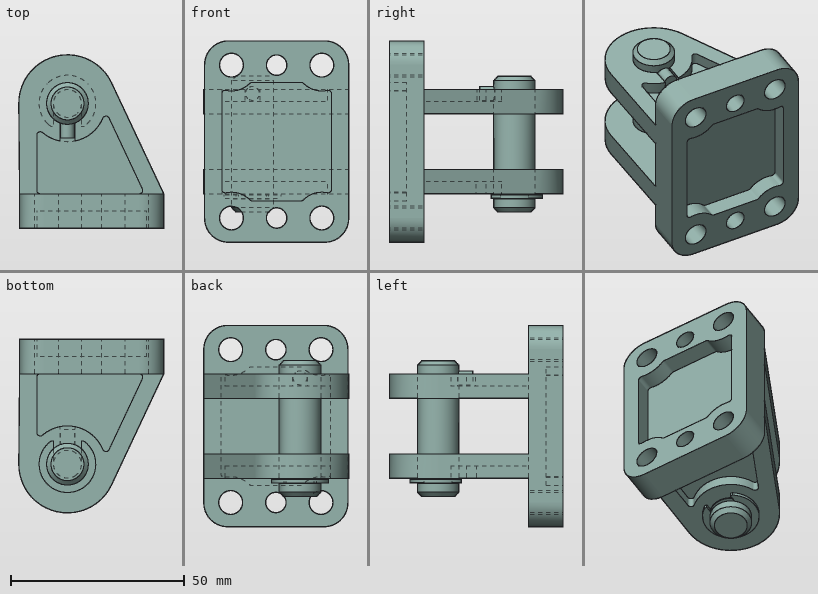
import cadquery as cq
import math

PLATE_WIDTH = 41.5
PLATE_HEIGHT = 58.0
PLATE_THICKNESS = 10.0
PLATE_CORNER_RADIUS = 6.95
BOLT_HOLE_DIAMETER = 6.8
MIDDLE_HOLE_DIAMETER = 5.8
BOLT_X = 13.0
BOLT_Z = 22.0

WALL = 5.0
POCKET_CORNER_RADIUS = 1.0
PLATE_POCKET_HEIGHT = 34.1
PLATE_POCKET_DEPTH = PLATE_THICKNESS / 2
BOLT_BOSS_RADIUS = 7.4
PIN_BOSS_RADIUS = 11.0

ARM_TIP_RADIUS = 14.05
ARM_INNER_Z = 8.0
ARM_THICKNESS = 7.0
ARM_OUTER_Z = ARM_INNER_Z + ARM_THICKNESS
ARM_POCKET_DEPTH = ARM_THICKNESS / 2
ARM_POCKET_FLOOR_Z = ARM_OUTER_Z - ARM_POCKET_DEPTH

PIN_X = -6.95
PIN_Y = 35.95
PIN_DIAMETER = 12.0
PIN_TOP_Z = 18.8
PIN_BOTTOM_Z = -20.3
PIN_CHAMFER = 1.3
DOWEL_DIAMETER = 4.0
DOWEL_REACH = 10.0
DOWEL_Z = 13.85
DOWEL_SLOT_WIDTH = 4.3

CLIP_DIAMETER = 16.3
CLIP_THICKNESS = 1.05
CLIP_TOP_Z = -15.3
CLIP_BOTTOM_Z = CLIP_TOP_Z - CLIP_THICKNESS
CLIP_OPEN_END = 6.65
GROOVE_DIAMETER = 8.0
GROOVE_PLAY = 0.1
GROOVE_BOTTOM_Z = CLIP_BOTTOM_Z - GROOVE_PLAY


def tangent_point(corner_x, corner_y, side):
    """Point where the line from a corner touches the arm tip circle (side: -1 left, +1 right)."""
    dx = corner_x - PIN_X
    dy = corner_y - PIN_Y
    half_angle = math.acos(ARM_TIP_RADIUS / math.hypot(dx, dy))
    angle = math.atan2(dy, dx) + side * half_angle
    return PIN_X + ARM_TIP_RADIUS * math.cos(angle), PIN_Y + ARM_TIP_RADIUS * math.sin(angle)


LEFT_CORNER = (-PLATE_WIDTH / 2, PLATE_THICKNESS)
RIGHT_CORNER = (PLATE_WIDTH / 2, PLATE_THICKNESS)
LEFT_TANGENT = tangent_point(*LEFT_CORNER, -1)
RIGHT_TANGENT = tangent_point(*RIGHT_CORNER, 1)


def cylinder_z(diameter, bottom_z, top_z):
    """Round bar along the pin axis."""
    return (
        cq.Workplane("XY", origin=(PIN_X, PIN_Y, bottom_z))
        .circle(diameter / 2)
        .extrude(top_z - bottom_z)
    )


def bolt_cylinders(diameter, depth):
    """Four round bars at the bolt holes, reaching in from the mounting face."""
    return (
        cq.Workplane("XZ")
        .rect(2 * BOLT_X, 2 * BOLT_Z, forConstruction=True)
        .vertices()
        .circle(diameter / 2)
        .extrude(-depth)
    )


def make_plate_pocket():
    """Recess in the mounting face that curves around the four bolt holes."""
    pocket = (
        cq.Workplane("XZ")
        .rect(PLATE_WIDTH - 2 * WALL, PLATE_POCKET_HEIGHT)
        .extrude(-PLATE_POCKET_DEPTH)
    )
    bosses = bolt_cylinders(2 * BOLT_BOSS_RADIUS, PLATE_POCKET_DEPTH)
    return pocket.cut(bosses).edges("|Y").fillet(POCKET_CORNER_RADIUS)


def make_plate():
    """Rounded plate with four bolt holes, two middle holes and a recess."""
    plate = (
        cq.Workplane("XZ")
        .rect(PLATE_WIDTH, PLATE_HEIGHT)
        .extrude(-PLATE_THICKNESS)
        .edges("|Y")
        .fillet(PLATE_CORNER_RADIUS)
    )
    bolt_holes = bolt_cylinders(BOLT_HOLE_DIAMETER, PLATE_THICKNESS)
    middle_holes = (
        cq.Workplane("XZ")
        .pushPoints([(0, -BOLT_Z), (0, BOLT_Z)])
        .circle(MIDDLE_HOLE_DIAMETER / 2)
        .extrude(-PLATE_THICKNESS)
    )
    return plate.cut(bolt_holes).cut(middle_holes).cut(make_plate_pocket())


def make_arm_pocket():
    """Recess in the upper arm, one wall thickness inside the sides and clear of the pin boss."""
    slope_x = RIGHT_TANGENT[0] - RIGHT_CORNER[0]
    slope_y = RIGHT_TANGENT[1] - RIGHT_CORNER[1]
    slope_length = math.hypot(slope_x, slope_y)
    inset_x = WALL * slope_length / slope_y
    lean = slope_x / slope_y
    left_x = -PLATE_WIDTH / 2 + WALL
    right_x = PLATE_WIDTH / 2 - inset_x
    rise = PIN_Y - PLATE_THICKNESS
    pocket = (
        cq.Workplane("XY", origin=(0, 0, ARM_POCKET_FLOOR_Z))
        .moveTo(left_x, PLATE_THICKNESS)
        .lineTo(right_x, PLATE_THICKNESS)
        .lineTo(right_x + lean * rise, PIN_Y)
        .lineTo(left_x, PIN_Y)
        .close()
        .extrude(ARM_POCKET_DEPTH)
        .cut(cylinder_z(2 * PIN_BOSS_RADIUS, ARM_POCKET_FLOOR_Z, ARM_OUTER_Z))
    )
    plate_side_piece = pocket.solids("<Y")
    return plate_side_piece.edges("|Z").fillet(POCKET_CORNER_RADIUS)


def make_upper_arm():
    """Arm whose straight sides run from the plate corners tangent to its round tip."""
    arm = (
        cq.Workplane("XY", origin=(0, 0, ARM_INNER_Z))
        .moveTo(*LEFT_CORNER)
        .lineTo(*RIGHT_CORNER)
        .lineTo(*RIGHT_TANGENT)
        .threePointArc((PIN_X, PIN_Y + ARM_TIP_RADIUS), LEFT_TANGENT)
        .close()
        .extrude(ARM_THICKNESS)
    )
    return arm.cut(make_arm_pocket())


def make_dowel_slot():
    """Straight slot in the upper arm, level with the pocket floor, from the bore to the pocket."""
    return (
        cq.Workplane("XY", origin=(PIN_X, PIN_Y - PIN_BOSS_RADIUS / 2, ARM_POCKET_FLOOR_Z))
        .rect(DOWEL_SLOT_WIDTH, PIN_BOSS_RADIUS)
        .extrude(ARM_POCKET_DEPTH)
    )


def make_bracket():
    """Plate with two mirrored arms, a bore for the pin and a slot for its dowel."""
    upper_arm = make_upper_arm()
    lower_arm = upper_arm.mirror("XY")
    bore = cylinder_z(PIN_DIAMETER, -ARM_OUTER_Z, ARM_OUTER_Z)
    return make_plate().union(upper_arm).union(lower_arm).cut(bore).cut(make_dowel_slot())


def make_pin():
    """Chamfered pin with a clip groove near its lower end and a dowel standing out of its side."""
    shaft = cylinder_z(PIN_DIAMETER, PIN_BOTTOM_Z, PIN_TOP_Z).faces("<Z or >Z").chamfer(PIN_CHAMFER)
    groove = cylinder_z(PIN_DIAMETER, GROOVE_BOTTOM_Z, CLIP_TOP_Z).cut(
        cylinder_z(GROOVE_DIAMETER, GROOVE_BOTTOM_Z, CLIP_TOP_Z)
    )
    dowel = (
        cq.Workplane("XZ", origin=(PIN_X, PIN_Y, DOWEL_Z))
        .circle(DOWEL_DIAMETER / 2)
        .extrude(DOWEL_REACH)
    )
    return shaft.cut(groove).union(dowel)


def make_clip():
    """Flat retaining clip that slides into the groove and is open toward the plate."""
    disc = cylinder_z(CLIP_DIAMETER, CLIP_BOTTOM_Z, CLIP_TOP_Z)
    seat = cylinder_z(GROOVE_DIAMETER, CLIP_BOTTOM_Z, CLIP_TOP_Z)
    mouth = (
        cq.Workplane("XY", origin=(PIN_X, PIN_Y - CLIP_DIAMETER / 4, CLIP_BOTTOM_Z))
        .rect(GROOVE_DIAMETER, CLIP_DIAMETER / 2)
        .extrude(CLIP_THICKNESS)
    )
    trim_length = CLIP_DIAMETER / 2 - CLIP_OPEN_END
    trim = (
        cq.Workplane("XY", origin=(PIN_X, PIN_Y - CLIP_OPEN_END - trim_length / 2, CLIP_BOTTOM_Z))
        .rect(CLIP_DIAMETER, trim_length)
        .extrude(CLIP_THICKNESS)
    )
    return disc.cut(seat).cut(mouth).cut(trim)


bracket = make_bracket()
pin = make_pin()
clip = make_clip()

result = cq.Compound.makeCompound([bracket.val(), pin.val(), clip.val()])